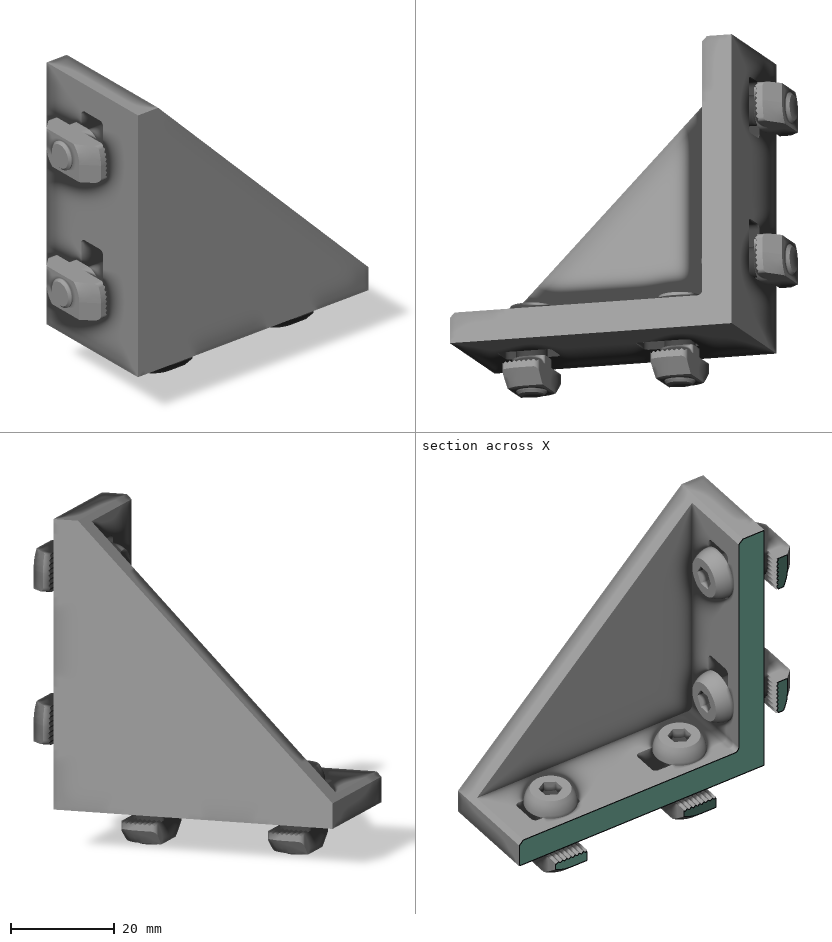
import cadquery as cq
import math

LEG = 57.0
WIDTH = 28.0
PLATE = 6.0
WEB = 5.0
END_LAND = 5.0
INNER_FILLET = 1.0

SLOT_WIDTH = 6.6
SLOT_LENGTH = 11.05
SLOT_CORNER = 1.0
FIRST_SLOT = 17.55
SLOT_PITCH = 28.0

FIRST_SCREW = 15.0
SCREW_PITCH = 29.95
SCREW_REACH = 8.0
SHANK_DIAMETER = 6.0
TIP_DIAMETER = 5.0
HEAD_DIAMETER = 10.45
HEAD_HEIGHT = 3.3
SOCKET_FLATS = 4.0
SOCKET_DEPTH = 2.0
SOCKET_CONE_ANGLE = 120.0

NUT_GAP = 1.2
NUT_WIDTH = 7.6
NUT_LENGTH = 16.0
NECK_HEIGHT = 1.6
LAND_HEIGHT = 1.5
BEVEL = 3.0
NECK_FILLET = 0.5
HEAD_FILLET = 1.0
TOOTH_PITCH = 1.0
TOOTH_DEPTH = 0.4
TOOTH_COUNT = 8

MIDDLE = WIDTH / 2
SLOT_CENTERS = [FIRST_SLOT, FIRST_SLOT + SLOT_PITCH]
SCREW_CENTERS = [FIRST_SCREW, FIRST_SCREW + SCREW_PITCH]


def floor_placements(distances):
    """Locations on the floor plate's underside, local Z pointing out of the bracket."""
    return [cq.Location(cq.Plane((MIDDLE, d, 0), (1, 0, 0), (0, 0, -1))) for d in distances]


def wall_placements(distances):
    """Locations on the wall plate's outer face, local Z pointing out of the bracket."""
    return [cq.Location(cq.Plane((MIDDLE, 0, d), (1, 0, 0), (0, -1, 0))) for d in distances]


def placements(distances):
    return floor_placements(distances) + wall_placements(distances)


def make_slot():
    """Slot cutter through one plate, which lies at negative local Z."""
    slot = cq.Workplane("XY").rect(SLOT_WIDTH, SLOT_LENGTH).extrude(-PLATE)
    return slot.edges("|Z").fillet(SLOT_CORNER)


def make_bracket():
    outline = [(0, 0), (LEG, 0), (LEG, END_LAND), (END_LAND, LEG), (0, LEG)]
    bracket = cq.Workplane("YZ").polyline(outline).close().extrude(WIDTH)

    inner = LEG - PLATE
    pocket = cq.Workplane("XY").box(WIDTH - WEB, inner, inner, centered=False)
    pocket = pocket.translate((0, PLATE, PLATE)).edges("|X and <Y and <Z").fillet(INNER_FILLET)
    bracket = bracket.cut(pocket)

    for place in placements(SLOT_CENTERS):
        bracket = bracket.cut(cq.Workplane(make_slot().val().moved(place)))
    return bracket


def make_socket():
    """Hexagon socket with a drilled cone at its bottom, opening at local Z = 0 downwards."""
    corner_diameter = SOCKET_FLATS / math.cos(math.pi / 6)
    cone_depth = corner_diameter / 2 / math.tan(math.radians(SOCKET_CONE_ANGLE / 2))
    hexagon = cq.Workplane("XY").polygon(6, corner_diameter).extrude(SOCKET_DEPTH + cone_depth)
    drill_profile = [
        (0, 0),
        (corner_diameter / 2, 0),
        (corner_diameter / 2, SOCKET_DEPTH),
        (0, SOCKET_DEPTH + cone_depth),
    ]
    drill = cq.Workplane("XZ").polyline(drill_profile).close().revolve(360, (0, 0), (0, 1))
    return hexagon.intersect(drill)


def make_screw():
    """Screw along local Z, with the plate's outer face at Z = 0 and the tip at positive Z."""
    head_radius = HEAD_DIAMETER / 2
    shank_radius = SHANK_DIAMETER / 2
    tip_radius = TIP_DIAMETER / 2
    tip_chamfer = shank_radius - tip_radius
    head_top = -PLATE - HEAD_HEIGHT

    half_height = HEAD_HEIGHT / 2
    dome_middle = (math.sqrt(head_radius**2 - half_height**2), -PLATE - half_height)
    dome_top = (math.sqrt(head_radius**2 - HEAD_HEIGHT**2), head_top)
    screw = (
        cq.Workplane("XZ")
        .moveTo(0, SCREW_REACH)
        .lineTo(tip_radius, SCREW_REACH)
        .lineTo(shank_radius, SCREW_REACH - tip_chamfer)
        .lineTo(shank_radius, -PLATE)
        .lineTo(head_radius, -PLATE)
        .threePointArc(dome_middle, dome_top)
        .lineTo(0, head_top)
        .close()
        .revolve(360, (0, 0), (0, 1))
    )
    return screw.cut(make_socket().translate((0, 0, head_top)))


def swing_shape(half_profile):
    """Bar of the nut's width whose +X+Y and -X-Y quarters are turned round local Z.

    The turned quarters let the nut swing a quarter turn inside its channel;
    the other two quarters stay square and stop it.
    """
    mirrored = [(-x, z) for x, z in reversed(half_profile)]
    bar = cq.Workplane("XZ").polyline(half_profile + mirrored).close()
    bar = bar.extrude(NUT_WIDTH / 2, both=True)

    bottom = half_profile[0][1]
    top = half_profile[-1][1]
    axis_profile = [(0, bottom), *half_profile, (0, top)]
    turned = cq.Workplane("XZ").polyline(axis_profile).close().revolve(360, (0, 0), (0, 1))

    quarter = cq.Workplane("XY").box(NUT_LENGTH, NUT_LENGTH, top - bottom, centered=False)
    quarters = quarter.union(quarter.rotate((0, 0, 0), (0, 0, 1), 180)).translate((0, 0, bottom))
    return bar.cut(quarters.cut(turned))


def make_nut():
    """T-nut on the screw axis, with the plate's outer face at local Z = 0."""
    neck_radius = NUT_WIDTH / 2
    head_radius = NUT_LENGTH / 2
    head_start = NUT_GAP + NECK_HEIGHT
    bevel_start = head_start + LAND_HEIGHT
    nut_end = bevel_start + BEVEL

    head = swing_shape(
        [
            (head_radius, head_start),
            (head_radius, bevel_start),
            (head_radius - BEVEL, nut_end),
        ]
    )
    head = head.edges("|Z and (<Y or >Y)").fillet(HEAD_FILLET)

    tooth = [
        (-TOOTH_PITCH / 2, head_start),
        (TOOTH_PITCH / 2, head_start),
        (0, head_start + TOOTH_DEPTH),
    ]
    groove = cq.Workplane("YZ").polyline(tooth).close().extrude(head_radius, both=True)
    for index in range(TOOTH_COUNT):
        offset = (index - (TOOTH_COUNT - 1) / 2) * TOOTH_PITCH
        head = head.cut(groove.translate((0, offset, 0)))

    neck = swing_shape([(neck_radius, NUT_GAP), (neck_radius, head_start + TOOTH_DEPTH)])
    neck = neck.edges("|Z and (<(1,-1,0) or >(1,-1,0))").fillet(NECK_FILLET)

    bore = cq.Workplane("XY").circle(SHANK_DIAMETER / 2).extrude(nut_end)
    return head.union(neck).cut(bore)


bracket = make_bracket()
screw = make_screw()
nut = make_nut()

screws = []
nuts = []
for place in placements(SCREW_CENTERS):
    screws.append(screw.val().moved(place))
    nuts.append(nut.val().moved(place))

result = cq.Compound.makeCompound([bracket.val(), *screws, *nuts])